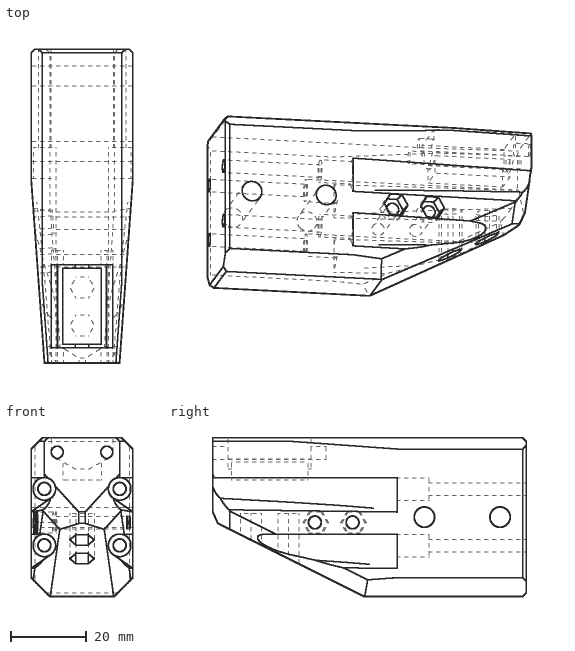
import cadquery as cq
import math

width = 27.0
length = 83.0
height = 42.0
half_width = width / 2
top_chamfer = 3.0
bottom_chamfer = 5.0
back_chamfer = 1.0

shoulder_y = 48.8
front_half_width = 10.0
taper_edge_chamfer = 1.0
taper_slope = (half_width - front_half_width) / shoulder_y

ramp_start_y = 40.0
ramp_slope = 0.5
ramp_facet_half_width = 8.4
ramp_facet_slope = math.tan(math.radians(30))
nose_z = 22.4
nose_half_width = 0.9
nose_slope = 2.25
facet_cross_slope = 1.1

screw_x = 10.0
screw_levels = (13.5, 28.5)
screw_dia = 3.3
head_dia = 6.0
head_depth = 8.3
groove_angle = math.radians(35)
relief_dia = 10.0
relief_angle = math.radians(3.8)
relief_rise_angle = math.radians(0.5)

cross_hole_dia = 5.3
cross_hole_ys = (56.0, 76.0)
cross_hole_z = height / 2
side_screw_dia = 3.3
side_screw_ys = (27.05, 37.0)
side_screw_z = 19.6

nut_flats = 5.6
nut_corners = nut_flats / math.cos(math.radians(30))
side_nut_depth = 5.0
ramp_nut_ys = (10.05, 20.0)
ramp_nut_ceiling_z = 22.0

cavity_center_y = 15.0
cavity_length = 22.0
cavity_floor_half_width = 1.8
cavity_floor_z = 33.8
cavity_floor_slope = math.tan(math.radians(30))
recess_width = 10.2
recess_length = 20.2
recess_floor_z = 30.9
pin_dia = 3.15
pin_x = 6.55
pin_z = 38.2
pin_back_y = 29.9
pin_tip_angle = math.radians(30)

reach = 3 * length


def trim(body, point, normal):
    """Remove everything on the side of a plane that its normal points to."""
    tool = cq.Workplane(cq.Plane(origin=point, normal=normal)).rect(reach, reach).extrude(reach)
    return body.cut(tool)


def section(start_y):
    """XZ sketch plane at start_y whose extrusions run toward the front."""
    return cq.Workplane("XZ", origin=(0, start_y, 0))


def make_block():
    """Bar with its back edges chamfered, then its four long edges cut to flats."""
    bar = cq.Workplane("XY").box(width, length, height, centered=(True, False, False))
    flats = bar.edges("|Y and >Z").chamfer(top_chamfer).edges("|Y and <Z").chamfer(bottom_chamfer)
    return bar.faces(">Y").edges().chamfer(back_chamfer).intersect(flats)


def shape_front(body):
    """Taper the sides and cut the sloping facets below the nose."""
    body = trim(body, (0, ramp_start_y, 0), (0, -ramp_slope, -1))
    body = trim(body, (0, 0, nose_z), (0, -nose_slope, -1))
    for side in (-1, 1):
        front_corner = (side * front_half_width, 0, height - taper_edge_chamfer)
        body = trim(body, front_corner, (side, -taper_slope, 0))
        body = trim(body, front_corner, (side, -taper_slope, 1))
        body = trim(
            body,
            (side * ramp_facet_half_width, ramp_start_y, 0),
            (side * facet_cross_slope, -ramp_facet_slope, -1),
        )
        body = trim(
            body,
            (side * nose_half_width, 0, nose_z),
            (side * facet_cross_slope, -nose_slope, -1),
        )
    return body


def side_groove(level):
    """Groove on the +X side: rounded root, flat roof, sloping floor and round floor relief."""
    radius = head_dia / 2
    floor_x = screw_x - radius * math.sin(groove_angle)
    floor_z = level - radius * math.cos(groove_angle)
    outer_x = width
    groove = (
        section(shoulder_y)
        .moveTo(outer_x, level + radius)
        .lineTo(screw_x, level + radius)
        .threePointArc((screw_x - radius, level), (floor_x, floor_z))
        .lineTo(outer_x, floor_z - (outer_x - floor_x) * math.tan(groove_angle))
        .close()
        .extrude(shoulder_y)
    )
    relief_x = half_width + relief_dia / 2 * math.sin(groove_angle)
    relief_z = (
        floor_z
        - (half_width - floor_x) * math.tan(groove_angle)
        + relief_dia / 2 * math.cos(groove_angle)
    )
    lean = (-math.sin(relief_angle), -math.cos(relief_angle), math.tan(relief_rise_angle))
    relief = (
        cq.Workplane(cq.Plane(origin=(relief_x, shoulder_y, relief_z), normal=lean))
        .circle(relief_dia / 2)
        .extrude(length, both=True)
    )
    relief = trim(relief, (0, shoulder_y, 0), (0, 1, 0))
    return groove.union(relief)


def screw_cut(level):
    """Groove, counterbore and through hole of one lengthwise screw on the +X side."""
    center = (screw_x, level)
    head = section(shoulder_y + head_depth).moveTo(*center).circle(head_dia / 2).extrude(head_depth)
    hole = section(length).moveTo(*center).circle(screw_dia / 2).extrude(length)
    return side_groove(level).union(head).union(hole)


def cross_hole(y, z, diameter):
    """Round hole through the full width."""
    return cq.Workplane("YZ").moveTo(y, z).circle(diameter / 2).extrude(width, both=True)


def pin_hole(side):
    """Round hole with a shallow V along its bottom."""
    radius = pin_dia / 2
    x = side * pin_x
    tangent_dx = radius * math.sin(pin_tip_angle)
    tangent_z = pin_z - radius * math.cos(pin_tip_angle)
    return (
        section(pin_back_y)
        .moveTo(x - tangent_dx, tangent_z)
        .threePointArc((x, pin_z + radius), (x + tangent_dx, tangent_z))
        .lineTo(x, pin_z - radius / math.cos(pin_tip_angle))
        .close()
        .extrude(pin_back_y)
    )


def top_cavity():
    """Open cavity with a V floor between the pin holes and a deeper rectangular recess."""
    wall_x = pin_x + pin_dia / 2
    floor_edge_z = cavity_floor_z + (pin_x - cavity_floor_half_width) * cavity_floor_slope
    outline = [
        (-wall_x, height),
        (-wall_x, pin_z),
        (-pin_x, pin_z),
        (-pin_x, floor_edge_z),
        (-cavity_floor_half_width, cavity_floor_z),
        (cavity_floor_half_width, cavity_floor_z),
        (pin_x, floor_edge_z),
        (pin_x, pin_z),
        (wall_x, pin_z),
        (wall_x, height),
    ]
    cavity_back_y = cavity_center_y + cavity_length / 2
    cavity = section(cavity_back_y).polyline(outline).close().extrude(cavity_length)
    recess = (
        cq.Workplane("XY", origin=(0, cavity_center_y, recess_floor_z))
        .rect(recess_width, recess_length)
        .extrude(height - recess_floor_z)
    )
    return cavity.union(recess)


result = shape_front(make_block())

for level in screw_levels:
    cut = screw_cut(level)
    result = result.cut(cut).cut(cut.mirror("YZ"))

for y in cross_hole_ys:
    result = result.cut(cross_hole(y, cross_hole_z, cross_hole_dia))

for y in side_screw_ys:
    side_x = front_half_width + taper_slope * y
    pocket_plane = cq.Plane(
        origin=(-side_x, y, side_screw_z), xDir=(taper_slope, -1, 0), normal=(1, taper_slope, 0)
    )
    nut = cq.Workplane(pocket_plane).polygon(6, nut_corners).extrude(side_nut_depth)
    result = result.cut(cross_hole(y, side_screw_z, side_screw_dia)).cut(nut)

for y in ramp_nut_ys:
    nut = cq.Workplane("XY").center(0, y).polygon(6, nut_corners).extrude(ramp_nut_ceiling_z)
    result = result.cut(nut)

result = result.cut(top_cavity())
for side in (-1, 1):
    result = result.cut(pin_hole(side))